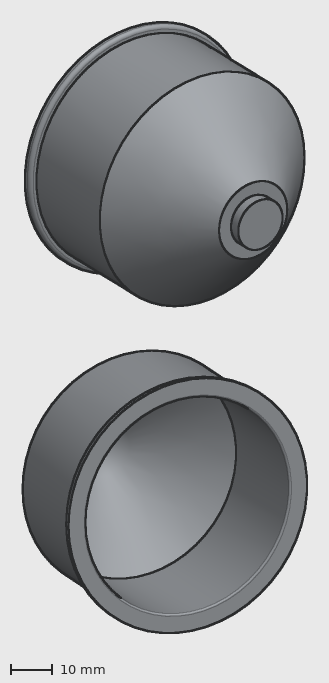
import cadquery as cq

flange_thickness = 2.05
flange_rounding = flange_thickness / 2
barrel_end = 28.3
cone_end = 49.4
overall_length = 52.4

flange_diameter = 64.0
barrel_diameter = 60.0
cone_tip_diameter = 20.0
spigot_diameter = 13.0

bore_diameter = 54.5
mouth_rounding = 0.5
bore_end = barrel_end
cavity_apex = cone_end


def outer_body():
    """Flange, barrel, cone and spigot revolved about the X axis."""
    profile = (
        cq.Workplane("XY")
        .lineTo(0, flange_diameter / 2)
        .lineTo(flange_thickness - flange_rounding, flange_diameter / 2)
        .radiusArc(
            (flange_thickness, flange_diameter / 2 - flange_rounding),
            flange_rounding,
        )
        .lineTo(flange_thickness, barrel_diameter / 2)
        .lineTo(barrel_end, barrel_diameter / 2)
        .lineTo(cone_end, cone_tip_diameter / 2)
        .lineTo(cone_end, spigot_diameter / 2)
        .lineTo(overall_length, spigot_diameter / 2)
        .lineTo(overall_length, 0)
        .close()
    )
    return profile.revolve(360, (0, 0, 0), (1, 0, 0))


def cavity():
    """Bore with a rounded mouth and a conical end, revolved about the X axis."""
    bore_radius = bore_diameter / 2
    profile = (
        cq.Workplane("XY")
        .lineTo(0, bore_radius + mouth_rounding)
        .radiusArc((mouth_rounding, bore_radius), -mouth_rounding)
        .lineTo(bore_end, bore_radius)
        .lineTo(cavity_apex, 0)
        .close()
    )
    return profile.revolve(360, (0, 0, 0), (1, 0, 0))


result = outer_body().cut(cavity())